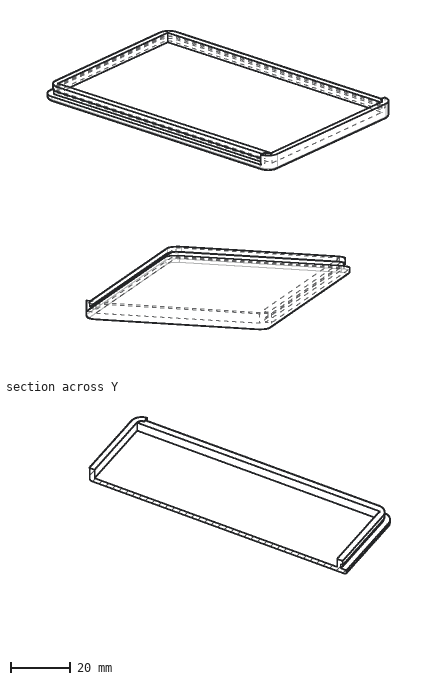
import cadquery as cq

length = 100.0
width = 65.0
corner_radius = 4.0
base_height = 2.0
bottom_fillet = 1.0

neck_inset = 2.1
neck_radius = corner_radius - neck_inset
lip_end_inset = 1.45
lip_side_inset = 1.2
lip_corner_radius = 3.9
lip_bottom = 3.7
lip_top = 5.5

stop_length = 3.9
stop_top = 5.7
stop_start = length / 2 - stop_length

pocket_end_inset = 3.65
pocket_side_inset = 3.7
pocket_floor = base_height


def block(x_start, x_end, y_size, bottom, top):
    """Box centred on Y, between two X positions and two heights."""
    return (
        cq.Workplane("XY", origin=((x_start + x_end) / 2, 0, bottom))
        .rect(x_end - x_start, y_size)
        .extrude(top - bottom)
    )


def rounded_plate(inset, radius, bottom, top):
    """Rounded rectangle set in evenly from the base outline, between two heights."""
    half_length = length / 2 - inset
    plate = block(-half_length, half_length, width - 2 * inset, bottom, top)
    return plate.edges("|Z").fillet(radius)


def make_base():
    plate = rounded_plate(0, corner_radius, 0, base_height)
    return plate.faces("<Z").edges().fillet(bottom_fillet)


def rim_layer(end_inset, side_inset, radius, bottom, top):
    """One layer of the rim: rounded -X corners, running square into the end stop."""
    rim_start = -length / 2 + end_inset
    layer = block(rim_start, stop_start, width - 2 * side_inset, bottom, top)
    return layer.edges("|Z and <X").fillet(radius)


def make_rim():
    neck = rim_layer(neck_inset, neck_inset, neck_radius, base_height, lip_bottom)
    lip = rim_layer(lip_end_inset, lip_side_inset, lip_corner_radius, lip_bottom, lip_top)
    return neck.union(lip)


def make_stop():
    """Raised wall along the +X edge, with the corners inside it filled up to the lip top."""
    outer = rounded_plate(0, corner_radius, base_height, stop_top)
    recess = rounded_plate(neck_inset, neck_radius, lip_top, stop_top)
    stop_zone = block(stop_start, length / 2, width, base_height, stop_top)
    return outer.cut(recess).intersect(stop_zone)


def make_pocket():
    pocket_start = -length / 2 + pocket_end_inset
    pocket_end = length / 2 - neck_inset
    pocket_width = width - 2 * pocket_side_inset
    return block(pocket_start, pocket_end, pocket_width, pocket_floor, stop_top)


body = make_base().union(make_rim()).union(make_stop())
result = body.cut(make_pocket())